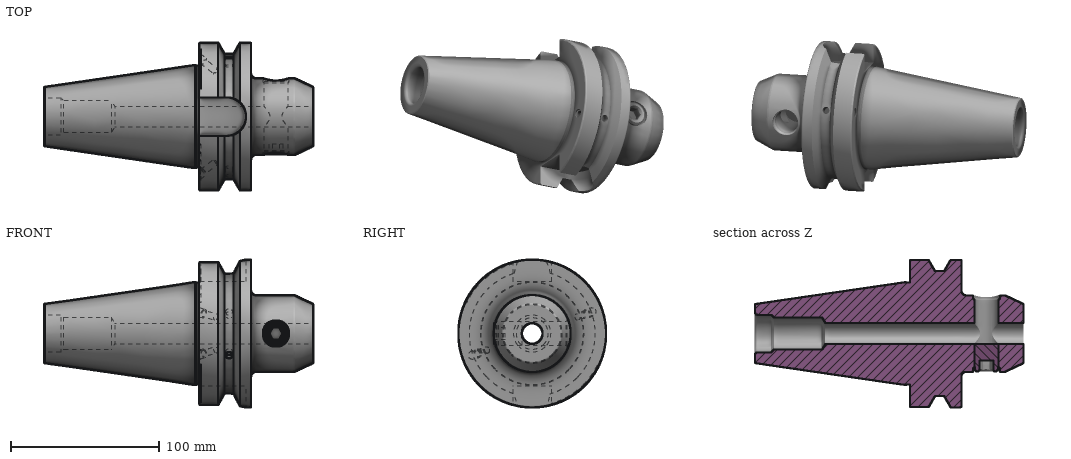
import cadquery as cq
import math

overall_length = 181.8

taper_length = 101.8
gauge_radius = 34.9
taper_ratio = 7 / 24
tail_chamfer = 0.5
tail_radius = gauge_radius - taper_length * taper_ratio / 2

relief_radius = 34.5
relief_start = 102.9
relief_fillet = 0.5

flange_radius = 50.0
flange_back = 104.7
flange_front = 139.8
flange_rim_fillet = 1.0

groove_radius = 42.5
groove_center = 124.9
groove_floor_width = 6.2
groove_flank_angle = 30.0
groove_flank_width = (flange_radius - groove_radius) * math.tan(math.radians(groove_flank_angle))
groove_floor_start = groove_center - groove_floor_width / 2
groove_floor_end = groove_center + groove_floor_width / 2

nose_radius = 26.0
nose_root_fillet = 3.0
nose_cone_start = 169.0
nose_cone_end_radius = 20.0
nose_tip_fillet = 1.5
nose_edge_fillet = 2.5

slot_width = 26.0
slot_floor_height = 35.3
slot_end = 136.4

mouth_fillet = 2.0
counterbore_radius = 12.5
counterbore_depth = 11.3
thread_radius = 10.7
thread_depth = 45.5
drill_point_angle = 118.0
through_radius = 6.9

coolant_angle = 20.0
coolant_face_radius = 41.8
coolant_diameter = 6.0
coolant_tilt = 40.0
coolant_depth = 4.0
coolant_bore_diameter = 4.4
coolant_bore_depth = 14.5
groove_hole_diameter = 4.7
groove_hole_depth = 6.2

screw_x = 156.5
screw_diameter = 16.0
screw_counterbore_radius = 8.9
screw_counterbore_depth = 2.4
screw_head_y = -25.6
screw_end_chamfer = 1.3
hex_across_flats = 8.0
hex_depth = 7.3
hex_countersink_diameter = 10.9


def make_turned_body():
    """Revolve the outer outline: taper, relief, grooved flange and nose."""
    outline = (
        cq.Workplane("XY")
        .moveTo(0, 0)
        .lineTo(0, tail_radius - tail_chamfer)
        .lineTo(tail_chamfer, tail_radius + tail_chamfer * taper_ratio / 2)
        .lineTo(taper_length, gauge_radius)
        .lineTo(relief_start, relief_radius)
        .lineTo(flange_back - relief_fillet, relief_radius)
        .radiusArc((flange_back, relief_radius + relief_fillet), -relief_fillet)
        .lineTo(flange_back, flange_radius - flange_rim_fillet)
        .radiusArc((flange_back + flange_rim_fillet, flange_radius), flange_rim_fillet)
        .lineTo(groove_floor_start - groove_flank_width, flange_radius)
        .lineTo(groove_floor_start, groove_radius)
        .lineTo(groove_floor_end, groove_radius)
        .lineTo(groove_floor_end + groove_flank_width, flange_radius)
        .lineTo(flange_front - flange_rim_fillet, flange_radius)
        .radiusArc((flange_front, flange_radius - flange_rim_fillet), flange_rim_fillet)
        .lineTo(flange_front, nose_radius + nose_root_fillet)
        .radiusArc((flange_front + nose_root_fillet, nose_radius), -nose_root_fillet)
        .lineTo(nose_cone_start, nose_radius)
        .lineTo(overall_length, nose_cone_end_radius)
        .lineTo(overall_length, 0)
        .close()
    )
    body = outline.revolve(360, (0, 0, 0), (1, 0, 0))
    body = body.faces(">X").edges().fillet(nose_tip_fillet)
    cone_edge = cq.selectors.BoxSelector(
        (nose_cone_start - 0.2, -nose_radius - 1.8, -nose_radius - 1.8),
        (nose_cone_start + 0.2, nose_radius + 1.8, nose_radius + 1.8),
        boundingbox=True,
    )
    return body.edges(cone_edge).fillet(nose_edge_fillet)


def make_bore():
    """Rounded mouth, counterbore, chamfered thread hole, drill point and through passage."""
    countersink = counterbore_radius - thread_radius
    point_length = (thread_radius - through_radius) / math.tan(math.radians(drill_point_angle / 2))
    return (
        cq.Workplane("XY")
        .moveTo(0, 0)
        .lineTo(0, counterbore_radius + mouth_fillet)
        .radiusArc((mouth_fillet, counterbore_radius), -mouth_fillet)
        .lineTo(counterbore_depth, counterbore_radius)
        .lineTo(counterbore_depth + countersink, thread_radius)
        .lineTo(thread_depth, thread_radius)
        .lineTo(thread_depth + point_length, through_radius)
        .lineTo(overall_length, through_radius)
        .lineTo(overall_length, 0)
        .close()
        .revolve(360, (0, 0, 0), (1, 0, 0))
    )


def make_key_slot():
    """Round-ended drive slot at +Z, open toward the taper."""
    end_radius = slot_width / 2
    slot_start = taper_length
    return (
        cq.Workplane("XY", origin=(0, 0, slot_floor_height))
        .moveTo(slot_start, -end_radius)
        .lineTo(slot_end - end_radius, -end_radius)
        .threePointArc((slot_end, 0), (slot_end - end_radius, end_radius))
        .lineTo(slot_start, end_radius)
        .close()
        .extrude(flange_radius)
    )


def make_coolant_holes():
    """Inclined stepped hole in the flange face and radial hole in the groove, on the +Y side."""
    tilt = math.radians(coolant_tilt)
    direction = cq.Vector(math.cos(tilt), -math.sin(tilt), 0)
    mouth = cq.Vector(flange_back, coolant_face_radius, 0)
    lead_in = coolant_diameter
    face_hole = cq.Solid.makeCylinder(
        coolant_diameter / 2, lead_in + coolant_depth, mouth - direction * lead_in, direction
    )
    narrow_hole = cq.Solid.makeCylinder(coolant_bore_diameter / 2, coolant_bore_depth, mouth, direction)
    groove_hole = cq.Solid.makeCylinder(
        groove_hole_diameter / 2,
        groove_hole_depth,
        cq.Vector(groove_center, groove_radius - groove_hole_depth, 0),
        cq.Vector(0, 1, 0),
    )
    return cq.Workplane(face_hole).add(narrow_hole).add(groove_hole).combine()


def make_screw_hole():
    """Cross hole through the nose, counterbored with a chamfered step on both sides."""
    hole_radius = screw_diameter / 2
    step_y = nose_radius - screw_counterbore_depth
    chamfer_end_y = step_y - (screw_counterbore_radius - hole_radius)
    return (
        cq.Workplane("XY")
        .moveTo(screw_x, -nose_radius)
        .lineTo(screw_x + screw_counterbore_radius, -nose_radius)
        .lineTo(screw_x + screw_counterbore_radius, -step_y)
        .lineTo(screw_x + hole_radius, -chamfer_end_y)
        .lineTo(screw_x + hole_radius, chamfer_end_y)
        .lineTo(screw_x + screw_counterbore_radius, step_y)
        .lineTo(screw_x + screw_counterbore_radius, nose_radius)
        .lineTo(screw_x, nose_radius)
        .close()
        .revolve(360, (screw_x, 0, 0), (screw_x, 1, 0))
    )


def make_holder():
    """Tool holder with its bore, key slots, coolant holes and screw hole."""
    holder = make_turned_body().cut(make_bore()).cut(make_screw_hole())
    for turn in (0, 180):
        holder = holder.cut(make_key_slot().rotate((0, 0, 0), (1, 0, 0), turn))
        holder = holder.cut(make_coolant_holes().rotate((0, 0, 0), (1, 0, 0), coolant_angle + turn))
    return holder


def make_clamping_screw():
    """Hexagon socket screw from the nose surface to the central passage."""
    length = -screw_head_y - through_radius
    head_plane = cq.Workplane("XZ", origin=(screw_x, screw_head_y, 0))
    screw = head_plane.circle(screw_diameter / 2).extrude(-length).faces("<Y").chamfer(screw_end_chamfer)
    hex_across_corners = hex_across_flats / math.cos(math.radians(30))
    socket = head_plane.polygon(6, hex_across_corners).extrude(-hex_depth)
    countersink_depth = (hex_countersink_diameter - hex_across_flats) / 2
    countersink = cq.Solid.makeCone(
        hex_countersink_diameter / 2,
        hex_across_flats / 2,
        countersink_depth,
        cq.Vector(screw_x, screw_head_y, 0),
        cq.Vector(0, 1, 0),
    )
    return screw.cut(socket).cut(cq.Workplane(countersink))


holder = make_holder()
clamping_screw = make_clamping_screw()

result = cq.Compound.makeCompound([holder.val(), clamping_screw.val()])